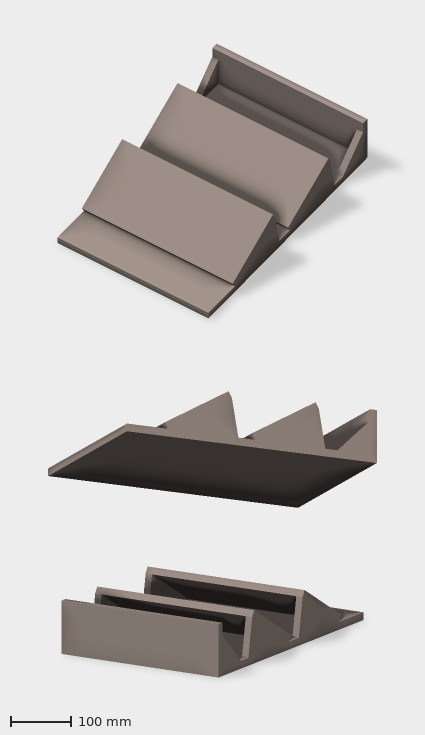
import cadquery as cq
import math

width = 305.0
length = 457.0
height = 91.0

panel_thickness = 12.5
base_thickness = 13.3

board_count = 2
board_pitch = 159.0
board_angle = 30.0
first_foot_y = 76.0
rear_edge_lean = 12.0

gusset_top_z = 70.0
gusset_foot_y = 387.0

slope = math.radians(board_angle)
inner_width = width - 2 * panel_thickness
back_front_y = length - panel_thickness
peak_z = height - panel_thickness * math.cos(slope)
board_length = (peak_z - base_thickness) / math.sin(slope)
board_run = board_length * math.cos(slope)
foot_positions = [first_foot_y + i * board_pitch for i in range(board_count)]


def extrude_profile(points, start_x, depth):
    """Extrude a closed outline of (y, z) points along +X from start_x."""
    return cq.Workplane("YZ").workplane(offset=start_x).polyline(points).close().extrude(depth)


def make_side_panel(start_x):
    """Upright side with a wedge under each board and a gusset at the rear."""
    outline = [(0, 0), (0, base_thickness)]
    for foot_y in foot_positions:
        peak_y = foot_y + board_run
        outline += [
            (foot_y, base_thickness),
            (peak_y, peak_z),
            (peak_y + rear_edge_lean, base_thickness),
        ]
    outline += [
        (gusset_foot_y, base_thickness),
        (back_front_y, gusset_top_z),
        (back_front_y, 0),
    ]
    return extrude_profile(outline, start_x, panel_thickness)


def make_base_panel():
    """Flat floor between the two sides, ending at the back panel."""
    return cq.Workplane("XY").box(
        inner_width, back_front_y, base_thickness, centered=(True, False, False)
    )


def make_back_panel():
    """Full-width upright panel closing the rear."""
    return cq.Workplane("XY").box(
        width, panel_thickness, height, centered=(True, False, False)
    ).translate((0, back_front_y, 0))


def make_board(foot_y):
    """Sloping board resting on the wedges, with its lower edge at the floor."""
    return (
        cq.Workplane("XY")
        .box(width, board_length, panel_thickness, centered=(True, False, False))
        .rotate((0, 0, 0), (1, 0, 0), board_angle)
        .translate((0, foot_y, base_thickness))
    )


side_panels = [make_side_panel(start_x) for start_x in (-width / 2, width / 2 - panel_thickness)]
base_panel = make_base_panel()
back_panel = make_back_panel()
boards = [make_board(foot_y) for foot_y in foot_positions]

result = cq.Compound.makeCompound([
    *[panel.val() for panel in side_panels],
    base_panel.val(),
    back_panel.val(),
    *[board.val() for board in boards],
])